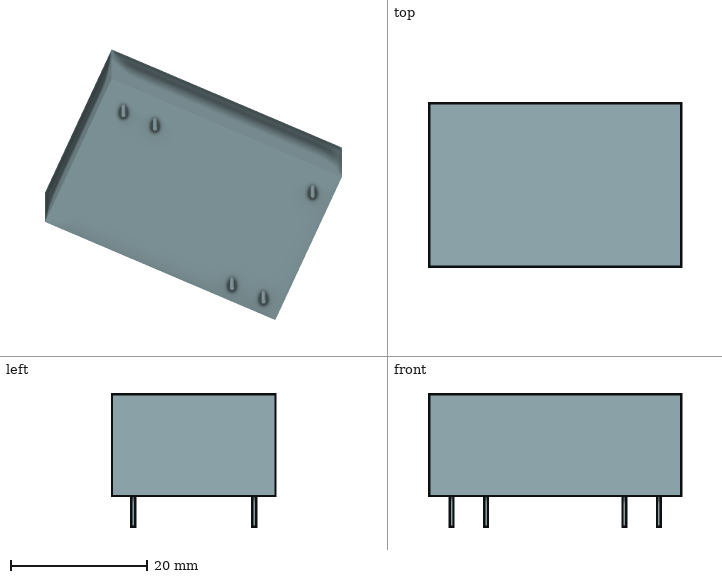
import cadquery as cq

HOUSING_LENGTH = 37.0
HOUSING_WIDTH = 24.0
HOUSING_HEIGHT = 15.0

PIN_DIAMETER = 0.6
PIN_LENGTH = 4.5
OUTER_PIN_X = 15.2
INNER_PIN_X = 10.15
PIN_ROW_Y = 8.88

CORNER_PIN_POSITION = (-OUTER_PIN_X, -PIN_ROW_Y)
SEPARATE_PIN_POSITIONS = [
    (-INNER_PIN_X, -PIN_ROW_Y),
    (-OUTER_PIN_X, PIN_ROW_Y),
    (INNER_PIN_X, PIN_ROW_Y),
    (OUTER_PIN_X, PIN_ROW_Y),
]


def make_pin(position):
    """A round pin running down from the underside of the housing."""
    x, y = position
    return cq.Workplane("XY").center(x, y).circle(PIN_DIAMETER / 2).extrude(-PIN_LENGTH)


def make_housing():
    """The block together with its integral corner pin."""
    block = cq.Workplane("XY").box(
        HOUSING_LENGTH, HOUSING_WIDTH, HOUSING_HEIGHT, centered=(True, True, False)
    )
    return block.union(make_pin(CORNER_PIN_POSITION))


housing = make_housing()
pins = [make_pin(position).val() for position in SEPARATE_PIN_POSITIONS]

result = cq.Compound.makeCompound([housing.solids().val(), *pins])